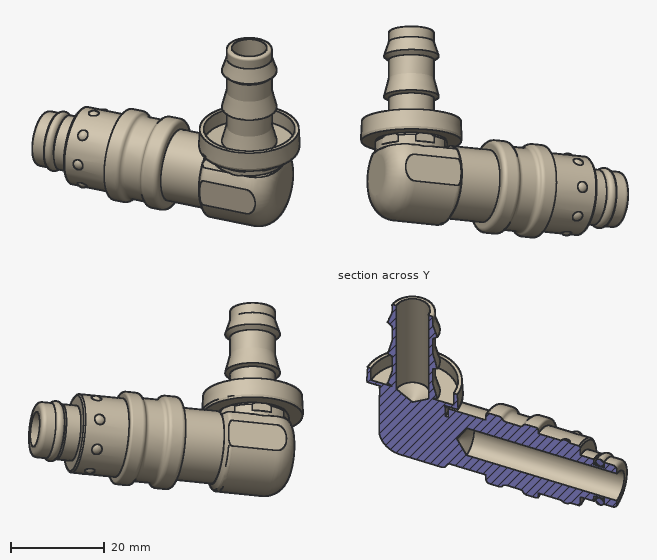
import cadquery as cq
import math

BARB_X = 48.305
EDGE_RADIUS = 1.0

TIP_RADIUS = 6.0
GROOVE_RADIUS = 4.5
GROOVE_START = 3.0
GROOVE_END = 5.4
SEAL_SECTION_RADIUS = 1.0

BARREL_START = 8.6
BARREL_RADIUS = 8.49
BARREL_CHAMFER = 0.35
BUMP_COUNT = 8
BUMP_X = 12.05
BUMP_TOP_RADIUS = 9.0
BUMP_SPHERE_RADIUS = 1.5
BUMP_START_ANGLE = 2.0

COLLAR_START = 18.6
COLLAR_RADIUS = 10.0
COLLAR_EDGE = 0.55
COLLAR_1_FLAT_END = 21.3
WAIST_RADIUS = 9.0
WAIST_START = 23.0
WAIST_END = 26.15
COLLAR_2_FLAT_START = 27.85
COLLAR_END = 31.0
TUBE_RADIUS = 7.8

BLOCK_START = 39.9
BLOCK_END = 56.25
BLOCK_RADIUS = 9.4
BLOCK_END_ROUND = 4.95
BLOCK_FRONT_RADIUS = 8.0
BLOCK_CONE_END = 40.65
BLOCK_CONE_RADIUS = 9.1
BLOCK_FULL_START = 41.5
BLOCK_TOP = 5.45
BLOCK_FLAT_OFFSET = 8.95

NECK_RADIUS = 7.8
NECK_TAPER_START = 7.75
NECK_TOP_RADIUS = 7.65
NECK_FLAT_COUNT = 6
NECK_FLAT_OFFSET = 7.5
NECK_FLAT_BOTTOM = 6.35

CUP_BOTTOM = 8.2
CUP_BOTTOM_RADIUS = 10.7
CUP_WIDEST_Z = 8.8
CUP_RADIUS = 10.855
CUP_TOP = 12.6
CUP_TOP_RADIUS = 10.65
CUP_INNER_RADIUS = 9.75
CUP_FLOOR = 9.3

HOSE_TOP = 32.5
HOSE_RADIUS = 4.88
HOSE_EDGE_ROUND = 0.55
BARB_RADIUS = 5.9
BARB_HEIGHTS = [(30.05, 27.0, 26.1), (22.0, 18.05, 17.65), (13.4, 9.7, CUP_FLOOR)]

BORE_RADIUS = 3.755
DRILL_POINT_ANGLE = 118.0
INLET_BORE_DEPTH = 35.5
HOSE_BORE_FLOOR = 8.9


def revolve_about_x(profile):
    """Turn a closed (x, radius) profile around the inlet axis."""
    return profile.close().revolve(360, (0, 0, 0), (1, 0, 0))


def revolve_about_barb(profile):
    """Turn a closed (radius, z) profile around the barb axis."""
    turned = profile.close().revolve(360, (0, 0, 0), (0, 1, 0))
    return turned.translate((BARB_X, 0, 0))


def make_inlet():
    waist_mid_radius = (COLLAR_RADIUS + WAIST_RADIUS) / 2
    profile = (
        cq.Workplane("XZ")
        .moveTo(0, 0)
        .lineTo(0, TIP_RADIUS - EDGE_RADIUS)
        .radiusArc((EDGE_RADIUS, TIP_RADIUS), EDGE_RADIUS)
        .lineTo(GROOVE_START, TIP_RADIUS)
        .lineTo(GROOVE_START, GROOVE_RADIUS)
        .lineTo(GROOVE_END, GROOVE_RADIUS)
        .lineTo(GROOVE_END, TIP_RADIUS)
        .lineTo(BARREL_START, TIP_RADIUS)
        .lineTo(BARREL_START, BARREL_RADIUS - BARREL_CHAMFER)
        .lineTo(BARREL_START + BARREL_CHAMFER, BARREL_RADIUS)
        .lineTo(COLLAR_START, BARREL_RADIUS)
        .lineTo(COLLAR_START, COLLAR_RADIUS - COLLAR_EDGE)
        .radiusArc((COLLAR_START + COLLAR_EDGE, COLLAR_RADIUS), COLLAR_EDGE)
        .lineTo(COLLAR_1_FLAT_END, COLLAR_RADIUS)
        .tangentArcPoint(((COLLAR_1_FLAT_END + WAIST_START) / 2, waist_mid_radius), relative=False)
        .tangentArcPoint((WAIST_START, WAIST_RADIUS), relative=False)
        .lineTo(WAIST_END, WAIST_RADIUS)
        .tangentArcPoint(((WAIST_END + COLLAR_2_FLAT_START) / 2, waist_mid_radius), relative=False)
        .tangentArcPoint((COLLAR_2_FLAT_START, COLLAR_RADIUS), relative=False)
        .lineTo(COLLAR_END - EDGE_RADIUS, COLLAR_RADIUS)
        .radiusArc((COLLAR_END, COLLAR_RADIUS - EDGE_RADIUS), EDGE_RADIUS)
        .lineTo(COLLAR_END, TUBE_RADIUS)
        .lineTo(BLOCK_START, TUBE_RADIUS)
        .lineTo(BLOCK_START, 0)
    )
    return revolve_about_x(profile)


def make_bumps():
    """Spherical snap bumps spread evenly around the barrel."""
    centre_radius = BUMP_TOP_RADIUS - BUMP_SPHERE_RADIUS
    bump = cq.Workplane("XY").sphere(BUMP_SPHERE_RADIUS).translate((BUMP_X, -centre_radius, 0))
    bumps = []
    for index in range(BUMP_COUNT):
        angle = -BUMP_START_ANGLE + index * 360 / BUMP_COUNT
        bumps.append(bump.rotate((0, 0, 0), (1, 0, 0), angle))
    return bumps


def make_block():
    """Turned elbow block, cut flat on top and on both sides."""
    round_start = BLOCK_END - BLOCK_END_ROUND
    profile = (
        cq.Workplane("XZ")
        .moveTo(BLOCK_START, 0)
        .lineTo(BLOCK_START, BLOCK_FRONT_RADIUS)
        .lineTo(BLOCK_CONE_END, BLOCK_CONE_RADIUS)
        .radiusArc((BLOCK_FULL_START, BLOCK_RADIUS), EDGE_RADIUS)
        .lineTo(round_start, BLOCK_RADIUS)
        .radiusArc((BLOCK_END, BLOCK_RADIUS - BLOCK_END_ROUND), BLOCK_END_ROUND)
        .lineTo(BLOCK_END, 0)
    )
    envelope = (
        cq.Workplane("XY", origin=(0, 0, BLOCK_TOP))
        .moveTo((BLOCK_START + BLOCK_END) / 2, 0)
        .rect(BLOCK_END - BLOCK_START, 2 * BLOCK_FLAT_OFFSET)
        .extrude(-(BLOCK_TOP + BLOCK_RADIUS))
    )
    return revolve_about_x(profile).intersect(envelope)


def make_neck():
    profile = (
        cq.Workplane("XZ")
        .moveTo(0, 0)
        .lineTo(NECK_RADIUS, 0)
        .lineTo(NECK_RADIUS, NECK_TAPER_START)
        .lineTo(NECK_TOP_RADIUS, CUP_BOTTOM)
        .lineTo(0, CUP_BOTTOM)
    )
    neck = revolve_about_barb(profile)
    flat_height = CUP_BOTTOM - NECK_FLAT_BOTTOM
    cutter = (
        cq.Workplane("XY", origin=(BARB_X, -NECK_FLAT_OFFSET, NECK_FLAT_BOTTOM))
        .box(2 * NECK_RADIUS, NECK_RADIUS, flat_height, centered=(True, False, False))
        .translate((0, -NECK_RADIUS, 0))
    )
    for index in range(NECK_FLAT_COUNT):
        angle = index * 360 / NECK_FLAT_COUNT
        neck = neck.cut(cutter.rotate((BARB_X, 0, 0), (BARB_X, 0, 1), angle))
    return neck


def make_cup():
    profile = (
        cq.Workplane("XZ")
        .moveTo(0, CUP_BOTTOM)
        .lineTo(CUP_BOTTOM_RADIUS, CUP_BOTTOM)
        .lineTo(CUP_RADIUS, CUP_WIDEST_Z)
        .lineTo(CUP_TOP_RADIUS, CUP_TOP)
        .lineTo(CUP_INNER_RADIUS, CUP_TOP)
        .lineTo(CUP_INNER_RADIUS, CUP_FLOOR)
        .lineTo(0, CUP_FLOOR)
    )
    return revolve_about_barb(profile)


def make_hose_barb():
    profile = (
        cq.Workplane("XZ")
        .moveTo(0, CUP_BOTTOM)
        .lineTo(0, HOSE_TOP)
        .lineTo(HOSE_RADIUS - HOSE_EDGE_ROUND, HOSE_TOP)
        .radiusArc((HOSE_RADIUS, HOSE_TOP - HOSE_EDGE_ROUND), HOSE_EDGE_ROUND)
    )
    for start, widest, end in BARB_HEIGHTS:
        profile = (
            profile.lineTo(HOSE_RADIUS, start)
            .lineTo(BARB_RADIUS, widest)
            .lineTo(HOSE_RADIUS, end)
        )
    return revolve_about_barb(profile.lineTo(HOSE_RADIUS, CUP_BOTTOM))


def make_bores():
    """Cutters for the two blind bores, each ending in a drill point."""
    point_length = BORE_RADIUS / math.tan(math.radians(DRILL_POINT_ANGLE / 2))
    inlet_bore = revolve_about_x(
        cq.Workplane("XZ")
        .moveTo(0, 0)
        .lineTo(0, BORE_RADIUS)
        .lineTo(INLET_BORE_DEPTH, BORE_RADIUS)
        .lineTo(INLET_BORE_DEPTH + point_length, 0)
    )
    hose_bore = revolve_about_barb(
        cq.Workplane("XZ")
        .moveTo(0, HOSE_TOP)
        .lineTo(BORE_RADIUS, HOSE_TOP)
        .lineTo(BORE_RADIUS, HOSE_BORE_FLOOR)
        .lineTo(0, HOSE_BORE_FLOOR - point_length)
    )
    return [inlet_bore, hose_bore]


def make_connector():
    connector = make_inlet()
    for feature in [*make_bumps(), make_block(), make_neck(), make_cup(), make_hose_barb()]:
        connector = connector.union(feature)
    for bore in make_bores():
        connector = connector.cut(bore)
    return connector


def make_seal_ring():
    """O-ring resting on the groove floor and against its front wall."""
    section_centre = (GROOVE_START + SEAL_SECTION_RADIUS, GROOVE_RADIUS + SEAL_SECTION_RADIUS)
    section = cq.Workplane("XZ").moveTo(*section_centre).circle(SEAL_SECTION_RADIUS)
    return section.revolve(360, (0, 0, 0), (1, 0, 0), clean=False)


connector = make_connector()
seal_ring = make_seal_ring()
result = cq.Compound.makeCompound([connector.val(), seal_ring.val()])